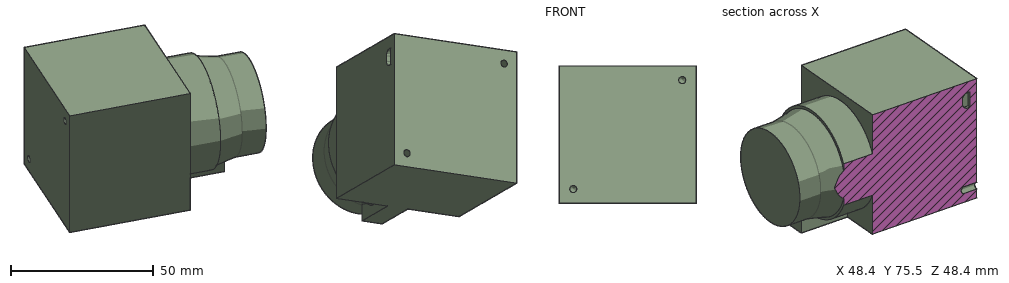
import cadquery as cq
import math

housing_side = 48.4
housing_depth = 45.0
half_side = housing_side / 2

total_length = 75.5
collar_end = 57.45
taper_end = 66.5
collar_diameter = 42.0
taper_base_diameter = 40.0
nose_diameter = 36.25

rib_end = 64.9
rib_width = 8.0
rib_top = -16.6

hole_offset = 19.2
hole_diameter = 2.5
hole_depth = 6.05
drill_point_angle = 118.0

pocket_front = 3.0
pocket_length = 3.0
pocket_height = 6.05
pocket_corner_radius = 2.05
pocket_depth = 6.05
pocket_top_gap = 4.5


def make_housing():
    return cq.Workplane("XY").box(
        housing_side, housing_depth, housing_side, centered=(True, False, True)
    )


def make_barrel():
    profile = [
        (0, housing_depth),
        (collar_diameter / 2, housing_depth),
        (collar_diameter / 2, collar_end),
        (taper_base_diameter / 2, collar_end),
        (nose_diameter / 2, taper_end),
        (nose_diameter / 2, total_length),
        (0, total_length),
    ]
    return cq.Workplane("XY").polyline(profile).close().revolve(360, (0, 0), (0, 1))


def make_rib():
    rib_length = rib_end - housing_depth
    rib_height = rib_top + half_side
    rib = cq.Workplane("XY").box(rib_width, rib_length, rib_height, centered=(True, False, False))
    return rib.translate((0, housing_depth, -half_side))


def make_drilled_hole(x, z):
    radius = hole_diameter / 2
    tip_length = radius / math.tan(math.radians(drill_point_angle / 2))
    profile = [(0, 0), (radius, 0), (radius, hole_depth), (0, hole_depth + tip_length)]
    hole = cq.Workplane("XY").polyline(profile).close().revolve(360, (0, 0), (0, 1))
    return hole.translate((x, 0, z))


def make_pocket():
    pocket = cq.Workplane("XY").box(pocket_depth, pocket_length, pocket_height, centered=False)
    pocket = pocket.edges("|X and >Y").fillet(pocket_corner_radius)
    pocket_bottom = half_side - pocket_top_gap - pocket_height
    return pocket.translate((-half_side, pocket_front, pocket_bottom))


result = make_housing().union(make_barrel()).union(make_rib())
for side in (-1, 1):
    result = result.cut(make_drilled_hole(side * hole_offset, side * hole_offset))
result = result.cut(make_pocket())